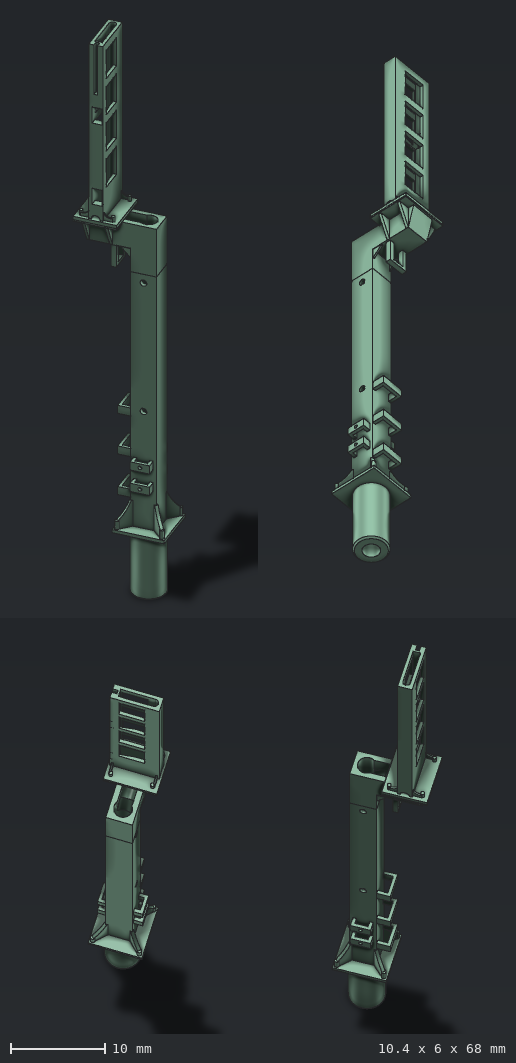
import cadquery as cq
import math


post_width = 3.0
cable_bore = 2.0
spigot_diameter = 4.0
spigot_chamfer = 0.2
base_bottom = 8.15
base_width = 2 * post_width
base_thickness = 0.4
base_top = base_bottom + base_thickness
cross_hole_diameter = 0.75
cross_hole_heights = [23.05, 38.95]

base_rib_thickness = 0.4
base_rib_height = 3.2
base_rib_sag = 0.3
base_peg_diameter = 0.5
base_peg_height = 1.0
base_peg_offset = 2.6

loop_wall = 0.4
loop_height = 1.0
front_loop_reach = base_width / 2
front_loop_width = 2.9
front_loop_count = 3
front_loop_bottom = 12.05
front_loop_pitch = 5.0
side_loop_width = 2.25
side_loop_reach = 2.5
side_loop_bottoms = [13.45, 16.1]
side_loop_hole_diameter = 0.4

arm_joint = 40.05
arm_bottom = 42.9
arm_top = 46.0
flange_length = 5.0
flange_thickness = 0.2
flange_bottom = arm_top - flange_thickness
head_x = -4.95
arm_end_top = -7.3
arm_end_bottom = -6.5
arm_rib_thickness = 0.35
arm_rib_starts = [arm_end_bottom, -3.9]
arm_rib_reach = 2.85
elbow_size = 1.2
elbow_thickness = 0.2
elbow_inset = 0.1
channel_width = 1.6
channel_axis_height = 44.5
channel_bend_x = -1.6

hanger_left = -3.8
hanger_thickness = 0.6
hanger_width = 2.6
hanger_opening_width = 1.4
hanger_sill = 0.4

head_top = 68.0
head_plate_thickness = 0.4
panel_bottom = arm_top + head_plate_thickness
panel_thickness = 1.6
panel_width = 5.5
panel_height = head_top - panel_bottom
window_count = 4
window_width = 2.85
window_height = 3.5
window_pitch = 4.5
window_top = 67.0
window_y = -0.305

slot_width = 0.8
slot_round_end = 2.4
slot_flat_end = -1.9
groove_width = 0.4
groove_length = 6.1
groove_depth = 0.6
notch_height = 2.0
notch_bottoms = [48.2, 58.3]
notch_flare = 0.35
wire_hole_diameter = 1.0

head_rib_thickness = 0.2
head_rib_y = 2.45
head_rib_height = 0.9
head_rib_low = 0.4
head_peg_diameter = 0.4
head_peg_x = 1.85
head_peg_y = 2.3
head_peg_height = 0.6


def box(x_range, y_range, z_range):
    """A box between the given limits."""
    corner = cq.Vector(x_range[0], y_range[0], z_range[0])
    size = [limits[1] - limits[0] for limits in (x_range, y_range, z_range)]
    return cq.Workplane(cq.Solid.makeBox(*size, corner))


def centred(width):
    """Limits of a width that is centred on zero."""
    return (-width / 2, width / 2)


def cylinder(diameter, length, start, direction):
    """A round bar that runs from a start point along a direction."""
    bar = cq.Solid.makeCylinder(diameter / 2, length, cq.Vector(*start), cq.Vector(*direction))
    return cq.Workplane(bar)


def base_rib():
    """A concave rib along +X with its peg, from inside the post to the corner of the base."""
    inner = post_width / 2
    post_corner = post_width / math.sqrt(2)
    peg_radius = base_peg_offset * math.sqrt(2)
    top = base_top + base_rib_height
    low = base_top + base_peg_height
    middle = ((post_corner + peg_radius) / 2, (top + low) / 2 - base_rib_sag)
    web = (
        cq.Workplane("XZ")
        .moveTo(inner, base_top)
        .lineTo(inner, top)
        .lineTo(post_corner, top)
        .threePointArc(middle, (peg_radius, low))
        .lineTo(peg_radius, base_top)
        .close()
        .extrude(base_rib_thickness / 2, both=True)
    )
    peg = cylinder(base_peg_diameter, base_peg_height, (peg_radius, 0, base_top), (0, 0, 1))
    return web.union(peg)


def front_loop(bottom):
    """A cable loop on the -X face of the post, slightly narrower than the post."""
    height = (bottom, bottom + loop_height)
    outer = box((-front_loop_reach, -post_width / 2), centred(front_loop_width), height)
    opening = box(
        (-front_loop_reach + loop_wall, -post_width / 2), centred(front_loop_width - 2 * loop_wall), height
    )
    return outer.cut(opening)


def side_loop(bottom):
    """A cable loop on the -Y face of the post, with a small round hole in its outer wall."""
    height = (bottom, bottom + loop_height)
    wall_inside = -side_loop_reach + loop_wall
    outer = box(centred(side_loop_width), (-side_loop_reach, -post_width / 2), height)
    opening = box(centred(side_loop_width - 2 * loop_wall), (wall_inside, -post_width / 2), height)
    middle = bottom + loop_height / 2
    hole = cylinder(side_loop_hole_diameter, loop_wall, (0, -side_loop_reach, middle), (0, 1, 0))
    return outer.cut(opening).cut(hole)


def make_mast():
    """Spigot, base, square post and everything that is fixed to the post."""
    spigot = cylinder(spigot_diameter, base_bottom, (0, 0, 0), (0, 0, 1))
    mast = spigot.faces("<Z").chamfer(spigot_chamfer)
    mast = mast.union(box(centred(base_width), centred(base_width), (base_bottom, base_top)))
    mast = mast.union(box(centred(post_width), centred(post_width), (base_top, arm_joint)))
    for corner in range(4):
        mast = mast.union(base_rib().rotate((0, 0, 0), (0, 0, 1), 45 + 90 * corner))
    for index in range(front_loop_count):
        mast = mast.union(front_loop(front_loop_bottom + index * front_loop_pitch))
    for bottom in side_loop_bottoms:
        loop = side_loop(bottom)
        mast = mast.union(loop).union(loop.mirror("XZ"))
    mast = mast.cut(cylinder(cable_bore, arm_joint, (0, 0, 0), (0, 0, 1)))
    for height in cross_hole_heights:
        start = (0, -post_width / 2, height)
        mast = mast.cut(cylinder(cross_hole_diameter, post_width, start, (0, 1, 0)))
    return mast


def arm_beam():
    """The cranked beam: sloping free end, level arm and the upright over the post."""
    half = post_width / 2
    return (
        cq.Workplane("XZ")
        .polyline([
            (arm_end_top, arm_top),
            (half, arm_top),
            (half, arm_joint),
            (-half, arm_joint),
            (-half, arm_bottom),
            (arm_end_bottom, arm_bottom),
            (arm_end_top, flange_bottom),
        ])
        .close()
        .extrude(half, both=True)
    )


def arm_rib(start):
    """A rib across the arm that props both sides of the flange."""
    return (
        cq.Workplane("YZ", origin=(start, 0, 0))
        .polyline([
            (-arm_rib_reach, flange_bottom),
            (arm_rib_reach, flange_bottom),
            (post_width / 2, arm_bottom),
            (-post_width / 2, arm_bottom),
        ])
        .close()
        .extrude(arm_rib_thickness)
    )


def elbow():
    """A thin triangular web between arm and upright, set in slightly from the -Y face."""
    face = -post_width / 2
    return (
        cq.Workplane("XZ", origin=(0, face + elbow_inset, 0))
        .polyline([(face, arm_bottom), (face - elbow_size, arm_bottom), (face, arm_bottom - elbow_size)])
        .close()
        .extrude(-elbow_thickness)
    )


def hanger():
    """The square cable loop under the arm."""
    depth = (hanger_left, hanger_left + hanger_thickness)
    frame = box(depth, centred(hanger_width), (arm_joint, arm_bottom))
    opening = box(depth, centred(hanger_opening_width), (arm_joint + hanger_sill, arm_bottom))
    return frame.cut(opening)


def cable_channel():
    """Open channel with a round bottom from the head's wire slot, then sloping into the bore."""
    bottom = channel_axis_height - channel_width / 2
    well = box(
        (head_x - slot_width / 2, head_x + slot_width / 2), centred(channel_width), (bottom, arm_top)
    )
    round_bottom = cylinder(channel_width, -head_x, (head_x, 0, channel_axis_height), (1, 0, 0))
    open_top = box((head_x, 0), centred(channel_width), (channel_axis_height, arm_top))
    bend = (channel_bend_x, 0, channel_axis_height)
    slope = cylinder(channel_width, -channel_bend_x * math.sqrt(2), bend, (1, 0, -1))
    beyond_slot = box((head_x + slot_width / 2, 0), centred(channel_width), (arm_joint, arm_top))
    channel = round_bottom.union(open_top).intersect(beyond_slot)
    return well.union(channel).union(slope)


def make_arm():
    """The cranked arm with its flange, ribs, hanger and cable passages."""
    flange_ends = (head_x - flange_length / 2, head_x + flange_length / 2)
    arm = arm_beam().union(box(flange_ends, centred(base_width), (flange_bottom, arm_top)))
    for start in arm_rib_starts:
        arm = arm.union(arm_rib(start))
    arm = arm.union(elbow()).union(elbow().mirror("XZ")).union(hanger())
    bore = cylinder(cable_bore, arm_top - arm_joint, (0, 0, arm_joint), (0, 0, 1))
    return arm.cut(bore).cut(cable_channel())


def head_rib():
    """A concave rib on the plate along +X with its peg, on the +Y side."""
    face = panel_thickness / 2
    top = panel_bottom + head_rib_height
    low = panel_bottom + head_rib_low
    span = head_peg_x - face
    drop = head_rib_height - head_rib_low
    middle = (face + span * (1 - math.sqrt(0.5)), low + drop * (1 - math.sqrt(0.5)))
    web = (
        cq.Workplane("XZ", origin=(0, head_rib_y, 0))
        .moveTo(face, panel_bottom)
        .lineTo(face, top)
        .threePointArc(middle, (head_peg_x, low))
        .lineTo(head_peg_x, panel_bottom)
        .close()
        .extrude(head_rib_thickness / 2, both=True)
    )
    peg = cylinder(head_peg_diameter, head_peg_height, (head_peg_x, head_peg_y, panel_bottom), (0, 0, 1))
    return web.union(peg)


def wire_slot():
    """Upright slot inside the panel, rounded at +Y, and a shallow groove down the panel's -Y edge."""
    round_centre = slot_round_end - slot_width / 2
    height = (panel_bottom, head_top)
    slot = box(centred(slot_width), (slot_flat_end, round_centre), height)
    slot = slot.union(cylinder(slot_width, panel_height, (0, round_centre, panel_bottom), (0, 0, 1)))
    edge = -panel_width / 2
    groove = box(centred(groove_width), (edge, edge + groove_depth), (head_top - groove_length, head_top))
    return slot.union(groove)


def wire_notch(bottom):
    """A notch from the -Y edge of the panel into the slot, flared towards +X."""
    half = slot_width / 2
    edge = -panel_width / 2
    return (
        cq.Workplane("XY", origin=(0, 0, bottom))
        .polyline([(-half, edge), (half + notch_flare, edge), (half, 0), (-half, 0)])
        .close()
        .extrude(notch_height)
    )


def make_head():
    """The lamp panel on its plate, modelled about its own axis and then moved onto the arm."""
    head = box(centred(flange_length), centred(base_width), (arm_top, panel_bottom))
    head = head.union(box(centred(panel_thickness), centred(panel_width), (panel_bottom, head_top)))
    for angle in (0, 180):
        rib = head_rib().rotate((0, 0, 0), (0, 0, 1), angle)
        head = head.union(rib).union(rib.mirror("XZ"))
    for index in range(window_count):
        top = window_top - index * window_pitch
        sides = (window_y - window_width / 2, window_y + window_width / 2)
        head = head.cut(box(centred(panel_thickness), sides, (top - window_height, top)))
    head = head.cut(wire_slot())
    for bottom in notch_bottoms:
        head = head.cut(wire_notch(bottom))
    head = head.cut(box(centred(slot_width), centred(channel_width), (arm_top, panel_bottom)))
    arch = cylinder(wire_hole_diameter, panel_width, (0, -panel_width / 2, panel_bottom), (0, 1, 0))
    above_plate = box(centred(panel_thickness), centred(panel_width), (panel_bottom, head_top))
    head = head.cut(arch.intersect(above_plate))
    return head.translate((head_x, 0, 0))


mast = make_mast()
arm = make_arm()
head = make_head()
result = cq.Compound.makeCompound([body.solids().val() for body in (mast, arm, head)])